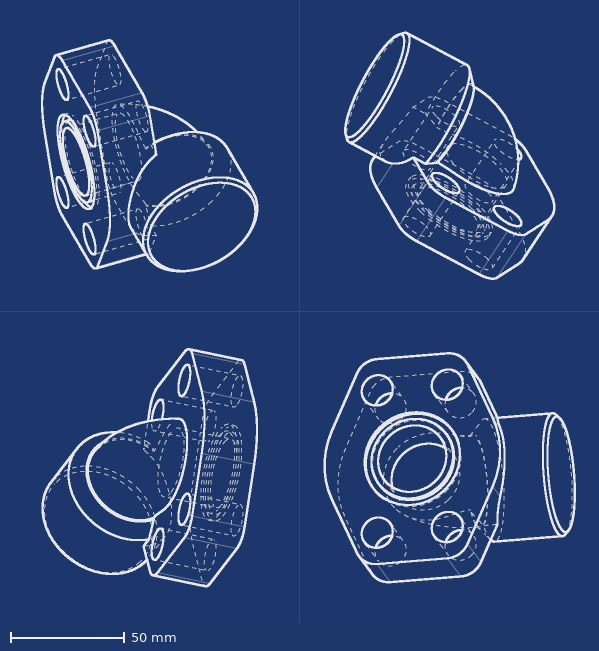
import cadquery as cq
import math

plate_thickness = 25.0
plate_height = 96.0
side_radius = 39.9
corner_radius = 10.0
corner_x = 16.0
bolt_x = 15.9
bolt_z = 33.3
bolt_diameter = 14.1

groove_outer_radius = 21.65
groove_inner_radius = 18.6
groove_depth = 2.2

bore_radius = 15.5
bore_depth = plate_thickness

pipe_radius = 20.4
bend_radius = 20.5
socket_axis_y = 36.0
socket_radius = 27.3
cone_small_radius = 21.1
cone_length = 5.8
overall_length = 98.9
socket_end_x = overall_length - side_radius
end_chamfer = 1.7
bend_start_y = socket_axis_y - bend_radius


def make_plate():
    """Plate whose outline wraps tangentially around a side arc and four corner arcs."""
    corner_z = plate_height / 2 - corner_radius
    slant = math.atan2(corner_z, corner_x) - math.acos(
        (side_radius - corner_radius) / math.hypot(corner_x, corner_z)
    )
    side_tangent = (side_radius * math.cos(slant), side_radius * math.sin(slant))
    corner_tangent = (
        corner_x + corner_radius * math.cos(slant),
        corner_z + corner_radius * math.sin(slant),
    )
    corner_mid_angle = (slant + math.pi / 2) / 2
    corner_mid = (
        corner_x + corner_radius * math.cos(corner_mid_angle),
        corner_z + corner_radius * math.sin(corner_mid_angle),
    )
    top_z = plate_height / 2

    def place(point, x_sign, z_sign):
        return (x_sign * point[0], z_sign * point[1])

    outline = cq.Workplane("XZ").moveTo(*place(side_tangent, 1, -1))
    for sign in (1, -1):
        outline = (
            outline.threePointArc((sign * side_radius, 0), place(side_tangent, sign, sign))
            .lineTo(*place(corner_tangent, sign, sign))
            .threePointArc(place(corner_mid, sign, sign), (sign * corner_x, sign * top_z))
            .lineTo(-sign * corner_x, sign * top_z)
            .threePointArc(place(corner_mid, -sign, sign), place(corner_tangent, -sign, sign))
            .lineTo(*place(side_tangent, -sign, sign))
        )
    return outline.close().extrude(-plate_thickness)


def make_bend():
    """Quarter-torus turning from the port axis (+Y) to the socket axis (+X)."""
    return (
        cq.Workplane("XZ", origin=(0, bend_start_y, 0))
        .circle(pipe_radius)
        .revolve(90, (bend_radius, 1, 0), (bend_radius, -1, 0))
    )


def make_socket():
    """Cone from the bend up to a chamfered cylinder, revolved about the socket axis."""
    return (
        cq.Workplane("XY", origin=(0, socket_axis_y, 0))
        .moveTo(bend_radius, 0)
        .lineTo(bend_radius, cone_small_radius)
        .lineTo(bend_radius + cone_length, socket_radius)
        .lineTo(socket_end_x - end_chamfer, socket_radius)
        .lineTo(socket_end_x, socket_radius - end_chamfer)
        .lineTo(socket_end_x, 0)
        .close()
        .revolve(360, (0, 0, 0), (1, 0, 0))
    )


port_bore = cq.Workplane("XZ").circle(bore_radius).extrude(-bore_depth)
bolt_holes = (
    cq.Workplane("XZ")
    .rect(2 * bolt_x, 2 * bolt_z, forConstruction=True)
    .vertices()
    .circle(bolt_diameter / 2)
    .extrude(-plate_thickness)
)
seal_groove = (
    cq.Workplane("XZ")
    .circle(groove_outer_radius)
    .circle(groove_inner_radius)
    .extrude(-groove_depth)
)

result = make_plate().union(make_bend()).union(make_socket())
result = result.cut(port_bore).cut(bolt_holes).cut(seal_groove)